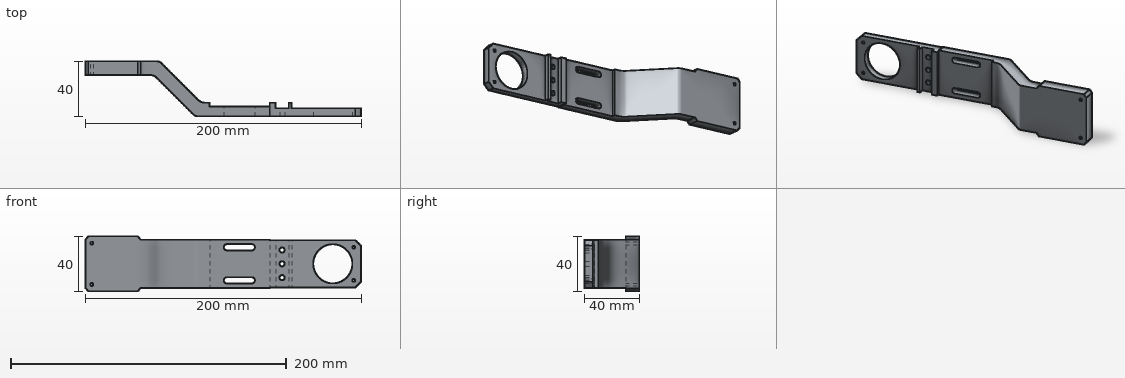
import cadquery as cq

length = 200.0
offset_height = 40.0
plate = 10.0
head_half_width = 20.0
arm_half_width = 17.5
tip_half_width = 17.2

lower_bend_x = 79.5
crank_run = offset_height - plate
raised_bend_x = lower_bend_x - crank_run
bend_shift = plate * (2 ** 0.5 - 1)
inside_bend_radius = 7.5
outside_bend_radius = 4.2
arm_thickness = 7.2
tip_thickness = 6.0
relief_start = 90.0
tip_start = 133.5

wide_rib_end = 138.0
thin_rib_start = 147.5
thin_rib_end = 149.5

head_chamfer = 2.0
head_shoulder_start = 38.0
head_shoulder_end = 40.0
tip_chamfer = 4.2

head_hole_x = 4.5
head_hole_z = 15.0
tip_hole_x = 194.5
tip_hole_z = 12.0
screw_hole_diameter = 2.0
row_hole_x = 142.5
row_pitch = 10.0
row_hole_diameter = 3.5
bore_x = 179.5
bore_diameter = 28.2
slot_start = 100.5
slot_end = 122.8
slot_width = 4.5
slot_z = 12.0


def vertical_edges_at(x, y):
    """Select the bend edge parallel to Z through the given profile corner."""
    margin = 0.2
    return cq.selectors.BoxSelector(
        (x - margin, y - margin, -margin),
        (x + margin, y + margin, margin),
    )


def make_cranked_bar():
    points = [
        (0, crank_run),
        (raised_bend_x, crank_run),
        (lower_bend_x, 0),
        (length, 0),
        (length, tip_thickness),
        (thin_rib_end, tip_thickness),
        (thin_rib_end, plate),
        (thin_rib_start, plate),
        (thin_rib_start, tip_thickness),
        (wide_rib_end, tip_thickness),
        (wide_rib_end, plate),
        (tip_start, plate),
        (tip_start, arm_thickness),
        (relief_start, arm_thickness),
        (relief_start, plate),
        (lower_bend_x + bend_shift, plate),
        (raised_bend_x + bend_shift, offset_height),
        (0, offset_height),
    ]
    bar = cq.Workplane("XY").polyline(points).close().extrude(head_half_width, both=True)
    inside_corners = [(raised_bend_x, crank_run), (lower_bend_x + bend_shift, plate)]
    outside_corners = [(lower_bend_x, 0), (raised_bend_x + bend_shift, offset_height)]
    for x, y in inside_corners:
        bar = bar.edges(vertical_edges_at(x, y)).fillet(inside_bend_radius)
    for x, y in outside_corners:
        bar = bar.edges(vertical_edges_at(x, y)).fillet(outside_bend_radius)
    return bar


def make_outline():
    upper = [
        (0, arm_half_width),
        (head_chamfer, head_half_width),
        (head_shoulder_start, head_half_width),
        (head_shoulder_end, arm_half_width),
        (tip_start, arm_half_width),
        (tip_start, tip_half_width),
        (length - tip_chamfer, tip_half_width),
        (length, tip_half_width - tip_chamfer),
    ]
    lower = [(x, -z) for x, z in reversed(upper)]
    return cq.Workplane("XZ").polyline(upper + lower).close().extrude(-offset_height)


def through_holes(points, diameter):
    return cq.Workplane("XZ").pushPoints(points).circle(diameter / 2).extrude(-offset_height)


def make_slots():
    center_x = (slot_start + slot_end) / 2
    slots = cq.Workplane("XZ").pushPoints([(center_x, slot_z), (center_x, -slot_z)])
    return slots.slot2D(slot_end - slot_start, slot_width).extrude(-offset_height)


screw_holes = [
    (x, side * z)
    for x, z in [(head_hole_x, head_hole_z), (tip_hole_x, tip_hole_z)]
    for side in (-1, 1)
]
row_holes = [(row_hole_x, step * row_pitch) for step in (-1, 0, 1)]

result = make_cranked_bar().intersect(make_outline())
result = result.cut(through_holes(screw_holes, screw_hole_diameter))
result = result.cut(through_holes(row_holes, row_hole_diameter))
result = result.cut(through_holes([(bore_x, 0)], bore_diameter))
result = result.cut(make_slots())